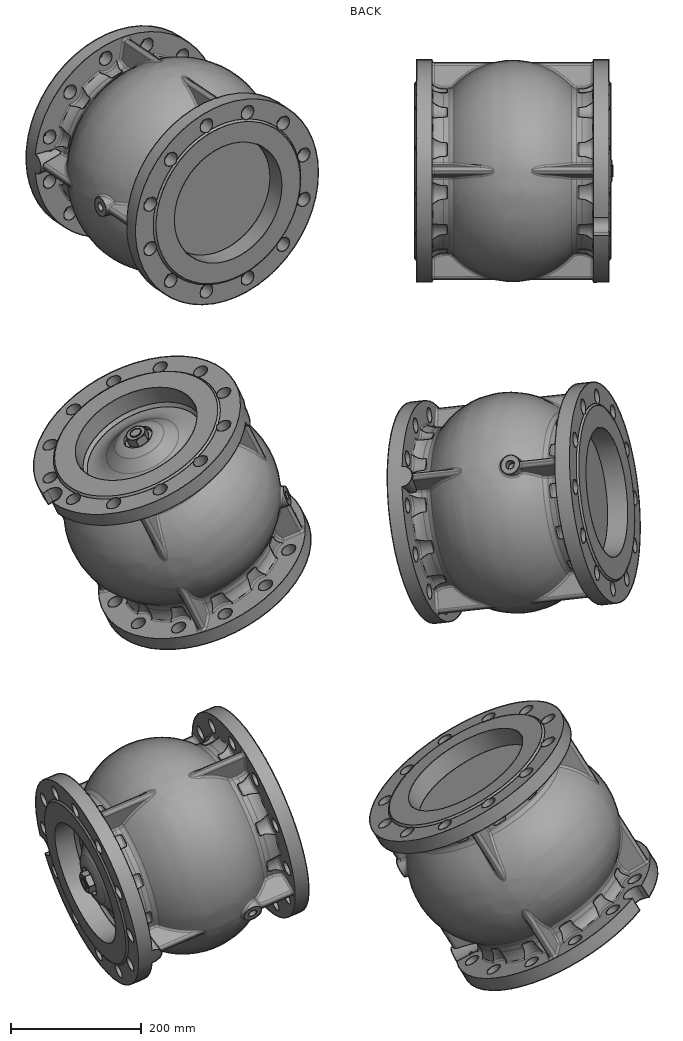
import cadquery as cq
import math

FLANGE_RADIUS = 170.0
FLANGE_THICKNESS = 23.8
FACE_TO_FACE = 300.0
RAISED_FACE_RADIUS = 134.0
RAISED_FACE_HEIGHT = 3.0

BOLT_COUNT = 12
BOLT_CIRCLE_RADIUS = 147.5
BOLT_HOLE_RADIUS = 11.5
BOLT_POCKET_RADIUS = 23.5
BOLT_POCKET_CORNER = 2.5
BOLT_POCKET_END = 99.5
NOTCH_RADIUS = 16.0
NOTCH_CENTER_RADIUS = 160.5
NOTCH_ANGLE = -30.0

BODY_RADIUS = 169.0
BULGE_ARC_RADIUS = 124.0
NECK_RADIUS = 127.0
NECK_FLARE_RADIUS = 133.3
NECK_FLARE_START = 105.7
WAIST_FILLET = 10.2

RIB_TOP_RADIUS = 165.5
RIB_ROOT_RADIUS = 102.0
RIB_TOP_HALF_WIDTH = 5.0
RIB_DRAFT = 8.0
RIB_EDGE_ROUND = 5.0
RIB_COUNT = 4
ROOT_FILLET = 3.5
TOLERANCE = 0.05

BORE_RADIUS = 100.0
BORE_END_X = -117.5
SEAT_RADIUS = 95.2
NUT_RECESS_RADIUS = 23.0
DISC_CROWN_X = -142.8
NUT_SEAT_X = -136.5
DISC_CONE_INNER_RADIUS = 40.5
DISC_CONE_OUTER_RADIUS = 59.5
DISC_CONE_ANGLE = 35.5

NUT_SIDES = 6
NUT_ACROSS_FLATS = 30.0
NUT_THICKNESS = 15.3
NUT_CHAMFER_ANGLE = 30.0
STUD_RADIUS = 9.2
STUD_CHAMFER = 0.7
STUD_END_X = -153.0

DRAIN_X = 50.5
DRAIN_BOSS_RADIUS = 15.3
DRAIN_BOSS_FACE = 168.5
DRAIN_RIB = 1
DRAIN_BOSS_FILLET = 3.0
DRAIN_BOSS_MARGIN = 0.7
DRAIN_BOSS_ROOT = 136.0
DRAIN_HOLE_RADIUS = 6.8
DRAIN_HOLE_DEPTH = 13.5
DRILL_POINT_ANGLE = 118.0
LUG_RADIUS = 16.3
LUG_ROOT_RADIUS = 14.3
LUG_ROOT_DISTANCE = 125.8

FACE_X = FACE_TO_FACE / 2
FLANGE_FRONT_X = FACE_X - RAISED_FACE_HEIGHT
FLANGE_BACK_X = FLANGE_FRONT_X - FLANGE_THICKNESS
BULGE_ARC_CENTER = BODY_RADIUS - BULGE_ARC_RADIUS
BULGE_END = math.sqrt(BULGE_ARC_RADIUS**2 - (NECK_RADIUS - BULGE_ARC_CENTER) ** 2)
RIB_ROOT_HALF_WIDTH = RIB_TOP_HALF_WIDTH + (RIB_TOP_RADIUS - RIB_ROOT_RADIUS) * math.tan(math.radians(RIB_DRAFT))

HALF_CONE_SLOPE = math.tan(math.radians(DISC_CONE_ANGLE / 2))
CONE_SLOPE = math.tan(math.radians(DISC_CONE_ANGLE))
CONE_INNER_X = DISC_CROWN_X + (DISC_CONE_INNER_RADIUS - NUT_RECESS_RADIUS) * HALF_CONE_SLOPE
CONE_OUTER_X = CONE_INNER_X + (DISC_CONE_OUTER_RADIUS - DISC_CONE_INNER_RADIUS) * CONE_SLOPE
DISC_RIM_X = CONE_OUTER_X + (SEAT_RADIUS - DISC_CONE_OUTER_RADIUS) * HALF_CONE_SLOPE


def revolve_about_x(profile):
    """Turn a closed profile, drawn as (x, radius), once around the X axis."""
    return profile.close().revolve(360, (0, 0, 0), (1, 0, 0))


def about_x(shape, angle):
    return shape.rotate((0, 0, 0), (1, 0, 0), angle)


def cylinder_along_x(radius, start, end, y=0):
    return cq.Workplane("YZ", origin=(start, y, 0)).circle(radius).extrude(end - start)


def cone_towards_minus_y(x, root_radius, tip_radius, root, tip):
    return cq.Workplane("XZ", origin=(x, -root, 0)).circle(root_radius).workplane(tip - root).circle(tip_radius).loft()


def make_body():
    """The bulge between two necks, each neck flaring out towards its flange."""
    flare_length = FLANGE_BACK_X - NECK_FLARE_START
    flare_rise = NECK_FLARE_RADIUS - NECK_RADIUS
    flare_turn = math.atan2(flare_rise, flare_length)
    flare_arc = flare_length / math.sin(2 * flare_turn)
    flare_middle = (
        -NECK_FLARE_START - flare_arc * math.sin(flare_turn),
        NECK_RADIUS + flare_arc * (1 - math.cos(flare_turn)),
    )
    profile = (
        cq.Workplane("XY")
        .moveTo(-NECK_FLARE_START, NECK_RADIUS)
        .lineTo(-BULGE_END, NECK_RADIUS)
        .threePointArc((0, BODY_RADIUS), (BULGE_END, NECK_RADIUS))
        .lineTo(NECK_FLARE_START, NECK_RADIUS)
        .tangentArcPoint((FLANGE_BACK_X, NECK_FLARE_RADIUS), relative=False)
        .lineTo(FLANGE_BACK_X, 0)
        .lineTo(-FLANGE_BACK_X, 0)
        .lineTo(-FLANGE_BACK_X, NECK_FLARE_RADIUS)
        .threePointArc(flare_middle, (-NECK_FLARE_START, NECK_RADIUS))
    )
    left_waist = cq.selectors.NearestToPointSelector((-BULGE_END, 0, 0))
    right_waist = cq.selectors.NearestToPointSelector((BULGE_END, 0, 0))
    return revolve_about_x(profile).edges(left_waist + right_waist).fillet(WAIST_FILLET)


def make_half_rib(start_x):
    """The +X half of the rib on the +Z side, from start_x to the flange."""
    return (
        cq.Workplane("YZ", origin=(start_x, 0, 0))
        .moveTo(-RIB_ROOT_HALF_WIDTH, RIB_ROOT_RADIUS)
        .lineTo(-RIB_TOP_HALF_WIDTH, RIB_TOP_RADIUS)
        .lineTo(RIB_TOP_HALF_WIDTH, RIB_TOP_RADIUS)
        .lineTo(RIB_ROOT_HALF_WIDTH, RIB_ROOT_RADIUS)
        .close()
        .extrude(FLANGE_BACK_X - start_x)
        .edges("|X and >Z")
        .fillet(RIB_EDGE_ROUND)
    )


def make_flange():
    """The +X flange with its bevelled raised face."""
    profile = (
        cq.Workplane("XY")
        .moveTo(FLANGE_BACK_X, 0)
        .lineTo(FLANGE_BACK_X, FLANGE_RADIUS)
        .lineTo(FLANGE_FRONT_X, FLANGE_RADIUS)
        .lineTo(FLANGE_FRONT_X, RAISED_FACE_RADIUS + RAISED_FACE_HEIGHT)
        .lineTo(FACE_X, RAISED_FACE_RADIUS)
        .lineTo(FACE_X, 0)
    )
    return revolve_about_x(profile)


def is_root_edge(edge):
    """True where a rib meets the body, or where a rib or neck meets the back of a flange."""
    start = edge.startPoint()
    center = edge.Center()
    end = edge.endPoint()
    start_radius = math.hypot(start.y, start.z)
    center_radius = math.hypot(center.y, center.z)

    def on_drain_boss(point):
        reach = DRAIN_BOSS_RADIUS + DRAIN_BOSS_FILLET + DRAIN_BOSS_MARGIN
        return math.hypot(point.x - DRAIN_X, point.z) < reach

    def on_flange_back(point):
        return abs(abs(point.x) - FLANGE_BACK_X) < TOLERANCE

    if center.y < 0 and all(on_drain_boss(point) for point in (start, center, end)):
        return False
    if on_flange_back(center) and on_flange_back(start):
        return start_radius < RIB_TOP_RADIUS + TOLERANCE
    beside_rib = min(abs(center.y), abs(center.z)) < RIB_ROOT_HALF_WIDTH
    along_rib_top = edge.geomType() == "LINE" and start_radius > NECK_FLARE_RADIUS
    within_rib = RIB_ROOT_RADIUS < start_radius < RIB_TOP_RADIUS + TOLERANCE
    crosses_middle = abs(center.x) < TOLERANCE
    return beside_rib and within_rib and center_radius > RIB_ROOT_RADIUS and not (along_rib_top or crosses_middle)


def add_drain_boss(body):
    boss = cone_towards_minus_y(DRAIN_X, DRAIN_BOSS_RADIUS, DRAIN_BOSS_RADIUS, DRAIN_BOSS_ROOT, DRAIN_BOSS_FACE)
    foot = cq.selectors.BoxSelector(
        (DRAIN_X - DRAIN_BOSS_RADIUS, 0, -DRAIN_BOSS_RADIUS),
        (DRAIN_X + DRAIN_BOSS_RADIUS, -DRAIN_BOSS_FACE + TOLERANCE, DRAIN_BOSS_RADIUS),
    )
    return body.union(boss).edges(foot).edges("not %LINE").fillet(DRAIN_BOSS_FILLET)


def make_casting():
    casting = add_drain_boss(make_body())
    for rib in range(RIB_COUNT):
        angle = rib * 360 / RIB_COUNT
        start_x = DRAIN_X if rib == DRAIN_RIB else 0
        casting = casting.union(about_x(make_half_rib(start_x), angle))
        casting = casting.union(about_x(make_half_rib(0).mirror("YZ"), angle))
    flange = make_flange()
    casting = casting.union(flange).union(flange.mirror("YZ"))
    root_edges = [edge for edge in casting.edges().vals() if is_root_edge(edge)]
    return casting.newObject(root_edges).fillet(ROOT_FILLET)


def make_bolt_cut():
    """A through hole and the rounded pocket behind the +X flange, for the bolt on the +Y side."""
    hole = cylinder_along_x(BOLT_HOLE_RADIUS, FLANGE_BACK_X, FACE_X, BOLT_CIRCLE_RADIUS)
    pocket = cylinder_along_x(BOLT_POCKET_RADIUS, BOLT_POCKET_END, FLANGE_BACK_X, BOLT_CIRCLE_RADIUS)
    return pocket.edges("%CIRCLE").fillet(BOLT_POCKET_CORNER).union(hole)


def make_drain_hole():
    """A blind hole in the drain boss with a drill point at its bottom."""
    bottom = DRAIN_BOSS_FACE - DRAIN_HOLE_DEPTH
    point = bottom - DRAIN_HOLE_RADIUS / math.tan(math.radians(DRILL_POINT_ANGLE / 2))
    return (
        cq.Workplane("XY")
        .moveTo(DRAIN_X, -DRAIN_BOSS_FACE)
        .lineTo(DRAIN_X + DRAIN_HOLE_RADIUS, -DRAIN_BOSS_FACE)
        .lineTo(DRAIN_X + DRAIN_HOLE_RADIUS, -bottom)
        .lineTo(DRAIN_X, -point)
        .close()
        .revolve(360, (DRAIN_X, 0, 0), (DRAIN_X, 1, 0))
    )


def make_notch():
    """The round-bottomed slot through the rim of the -X flange."""
    sides = cq.Workplane("XY").box(
        FLANGE_THICKNESS, FLANGE_RADIUS - NOTCH_CENTER_RADIUS, 2 * NOTCH_RADIUS, centered=(False, False, True)
    )
    sides = sides.translate((-FLANGE_FRONT_X, NOTCH_CENTER_RADIUS, 0))
    bottom = cylinder_along_x(NOTCH_RADIUS, -FLANGE_FRONT_X, -FLANGE_BACK_X, NOTCH_CENTER_RADIUS)
    return about_x(bottom.union(sides), NOTCH_ANGLE)


def make_inlet():
    """The opening on the -X side, down to the seat and the domed face of the valve disc."""
    blend_radius = (DISC_CONE_INNER_RADIUS - NUT_RECESS_RADIUS) / math.sin(math.radians(DISC_CONE_ANGLE))
    half_turn = math.radians(DISC_CONE_ANGLE / 2)
    crown_blend_middle = (
        DISC_CROWN_X + blend_radius * (1 - math.cos(half_turn)),
        NUT_RECESS_RADIUS + blend_radius * math.sin(half_turn),
    )
    profile = (
        cq.Workplane("XY")
        .moveTo(-FACE_X, 0)
        .lineTo(NUT_SEAT_X, 0)
        .lineTo(NUT_SEAT_X, NUT_RECESS_RADIUS)
        .lineTo(DISC_CROWN_X, NUT_RECESS_RADIUS)
        .threePointArc(crown_blend_middle, (CONE_INNER_X, DISC_CONE_INNER_RADIUS))
        .lineTo(CONE_OUTER_X, DISC_CONE_OUTER_RADIUS)
        .tangentArcPoint((DISC_RIM_X, SEAT_RADIUS), relative=False)
        .lineTo(BORE_END_X, BORE_RADIUS)
        .lineTo(-FACE_X, BORE_RADIUS)
    )
    return revolve_about_x(profile)


def make_nut_and_stud():
    nut_end_x = NUT_SEAT_X - NUT_THICKNESS
    corner_diameter = NUT_ACROSS_FLATS / math.cos(math.pi / NUT_SIDES)
    nut = (
        cq.Workplane("YZ", origin=(NUT_SEAT_X, 0, 0))
        .transformed(rotate=(0, 0, 90))
        .polygon(NUT_SIDES, corner_diameter)
        .extrude(-NUT_THICKNESS)
    )
    flat_radius = NUT_ACROSS_FLATS / 2
    reach = NUT_THICKNESS / math.tan(math.radians(NUT_CHAMFER_ANGLE))
    chamfer_cone = (
        cq.Workplane("XY")
        .moveTo(nut_end_x, 0)
        .lineTo(nut_end_x, flat_radius)
        .lineTo(NUT_SEAT_X, flat_radius + reach)
        .lineTo(NUT_SEAT_X, 0)
    )
    nut = nut.intersect(revolve_about_x(chamfer_cone))
    stud = cylinder_along_x(STUD_RADIUS, STUD_END_X, NUT_SEAT_X).faces("<X").chamfer(STUD_CHAMFER)
    return nut.union(stud)


def make_lug():
    """The tapered lug behind the -X flange, on the -Y rib, trimmed to the flange rim."""
    lug = cone_towards_minus_y(-FLANGE_BACK_X, LUG_ROOT_RADIUS, LUG_RADIUS, LUG_ROOT_DISTANCE, FLANGE_RADIUS)
    return lug.intersect(cylinder_along_x(FLANGE_RADIUS, -FLANGE_FRONT_X, 0))


result = make_casting().union(make_lug())

bolt_cut = make_bolt_cut()
cuts = [make_notch(), make_inlet(), make_drain_hole()]
for bolt in range(BOLT_COUNT):
    turned_cut = about_x(bolt_cut, (bolt + 0.5) * 360 / BOLT_COUNT)
    cuts += [turned_cut, turned_cut.mirror("YZ")]
cuts.append(cylinder_along_x(BORE_RADIUS, -BORE_END_X, FACE_X))
result = result.cut(cq.Workplane(cq.Compound.makeCompound([cut.val() for cut in cuts])))
result = result.union(make_nut_and_stud())